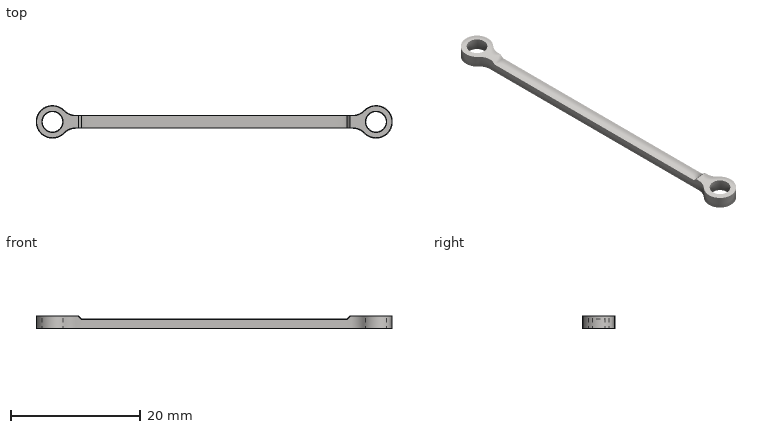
import cadquery as cq
import math

length = 55.0
eye_diameter = 5.0
hole_diameter = 3.2
eye_height = 2.0
bar_width = 2.0
step_drop = 0.5
step_start = 6.5
neck_radius = 2.5

eye_radius = eye_diameter / 2
eye_x = length / 2 - eye_radius
half_width = bar_width / 2
bar_height = eye_height - step_drop
step_top_x = length / 2 - step_start
step_bottom_x = step_top_x - step_drop

neck_center_y = half_width + neck_radius
center_distance = eye_radius + neck_radius
neck_reach = math.sqrt(center_distance**2 - neck_center_y**2)
tangent_reach = neck_reach * eye_radius / center_distance
tangent_y = neck_center_y * eye_radius / center_distance

neck_sweep = math.asin(neck_reach / center_distance)
neck_mid_reach = neck_reach - neck_radius * math.sin(neck_sweep / 2)
neck_mid_y = neck_center_y - neck_radius * math.cos(neck_sweep / 2)


def make_eye(side):
    """Eye and its flared neck; side is -1 for the -X end, +1 for the +X end."""

    def point(reach, y):
        return (side * (eye_x - reach), y)

    return (
        cq.Workplane("XY")
        .moveTo(*point(neck_reach, half_width))
        .threePointArc(point(neck_mid_reach, neck_mid_y), point(tangent_reach, tangent_y))
        .threePointArc(point(-eye_radius, 0), point(tangent_reach, -tangent_y))
        .threePointArc(point(neck_mid_reach, -neck_mid_y), point(neck_reach, -half_width))
        .close()
        .extrude(eye_height)
    )


def make_bar():
    """Bar between the necks, with its top lowered between two sloping steps."""
    neck_end_x = eye_x - neck_reach
    return (
        cq.Workplane("XZ")
        .polyline([
            (-neck_end_x, 0),
            (neck_end_x, 0),
            (neck_end_x, eye_height),
            (step_top_x, eye_height),
            (step_bottom_x, bar_height),
            (-step_bottom_x, bar_height),
            (-step_top_x, eye_height),
            (-neck_end_x, eye_height),
        ])
        .close()
        .extrude(half_width, both=True)
    )


holes = (
    cq.Workplane("XY")
    .pushPoints([(-eye_x, 0), (eye_x, 0)])
    .circle(hole_diameter / 2)
    .extrude(eye_height)
)

result = make_bar().union(make_eye(-1)).union(make_eye(1)).cut(holes)